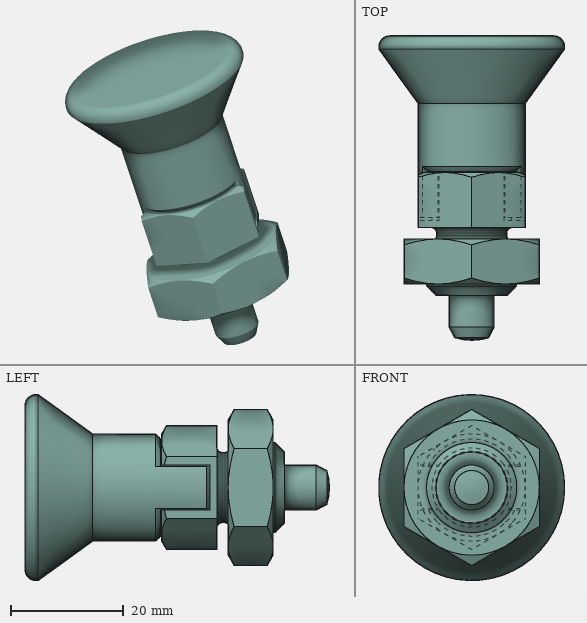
import cadquery as cq
import math

length = 54.0

pin_radius = 8.0 / 2
pin_tip_radius = 3.0
pin_dome_height = 0.5
pin_taper_end = 2.4

thread_radius = 16.0 / 2
thread_start = 8.0
thread_chamfer = 1.7
relief_radius = 12.5 / 2
relief_fillet = 0.9
relief_flat = 0.5

nut_flats = 24.0
nut_start = 10.0
nut_height = 8.0
body_flats = 19.0
body_start = 20.0
body_end = 29.75
hex_chamfer_angle = 30.0

sleeve_radius = body_flats / 2
sleeve_start = 30.85
sleeve_chamfer = 0.85
cone_start = 42.0
knob_radius = 33.0 / 2
cone_end = 51.7
rim_width = 0.3
rim_fillet = length - cone_end - rim_width
core_radius = 7.0
tongue_width = 7.5
tongue_end = 21.8
slot_width = 8.0
slot_end = 21.2


def revolve_about_y(outline):
    """Revolve a closed (radius, Y) outline about the Y axis."""
    return outline.close().revolve(360, (0, 0, 0), (0, 1, 0))


def cylinder(radius, start, end):
    outline = cq.Workplane("XY").moveTo(0, start).lineTo(radius, start).lineTo(radius, end).lineTo(0, end)
    return revolve_about_y(outline)


def cross_bar(width, start, end):
    """Bar through the body along X, reaching past both flats."""
    return cq.Workplane("XY").box(2 * body_flats, end - start, width).translate((0, (start + end) / 2, 0))


def hexagon(flats, start, end, chamfer_start):
    """Hexagonal prism with conical corner chamfers on the knob end and optionally the pin end."""
    corner_radius = flats / 2 / math.cos(math.radians(30))
    drop = (corner_radius - flats / 2) * math.tan(math.radians(hex_chamfer_angle))
    prism = (
        cq.Workplane("XZ", origin=(0, start, 0))
        .transformed(rotate=(0, 0, 30))
        .polygon(6, 2 * corner_radius)
        .extrude(start - end)
    )
    outline = cq.Workplane("XY").moveTo(0, start)
    if chamfer_start:
        outline = outline.lineTo(flats / 2, start).lineTo(corner_radius, start + drop)
    else:
        outline = outline.lineTo(corner_radius, start)
    outline = outline.lineTo(corner_radius, end - drop).lineTo(flats / 2, end).lineTo(0, end)
    return prism.intersect(revolve_about_y(outline))


def make_pin_and_thread():
    dome_radius = (pin_tip_radius**2 + pin_dome_height**2) / (2 * pin_dome_height)
    dome_mid_radius = pin_tip_radius / 2
    dome_mid_y = dome_radius - math.sqrt(dome_radius**2 - dome_mid_radius**2)
    relief_top = body_start - relief_fillet
    relief_bottom = relief_top - relief_flat
    fillet_radius = relief_radius + relief_fillet
    arc_inset = relief_fillet * math.sqrt(0.5)
    outline = (
        cq.Workplane("XY")
        .moveTo(0, 0)
        .threePointArc((dome_mid_radius, dome_mid_y), (pin_tip_radius, pin_dome_height))
        .lineTo(pin_radius, pin_taper_end)
        .lineTo(pin_radius, thread_start)
        .lineTo(thread_radius - thread_chamfer, thread_start)
        .lineTo(thread_radius, thread_start + thread_chamfer)
        .lineTo(thread_radius, relief_bottom - relief_fillet)
        .lineTo(fillet_radius, relief_bottom - relief_fillet)
        .threePointArc((fillet_radius - arc_inset, relief_bottom - arc_inset), (relief_radius, relief_bottom))
        .lineTo(relief_radius, relief_top)
        .threePointArc((fillet_radius - arc_inset, relief_top + arc_inset), (fillet_radius, body_start))
        .lineTo(0, body_start)
    )
    return revolve_about_y(outline)


def make_slotted_body():
    body = hexagon(body_flats, body_start, body_end, False)
    slot = cross_bar(slot_width, slot_end, body_end)
    return body.cut(slot).union(cylinder(core_radius, body_start, sleeve_start))


def make_knob():
    rim_arc_inset = rim_fillet * (1 - math.sqrt(0.5))
    outline = (
        cq.Workplane("XY")
        .moveTo(0, sleeve_start - sleeve_chamfer)
        .lineTo(sleeve_radius - sleeve_chamfer, sleeve_start - sleeve_chamfer)
        .lineTo(sleeve_radius, sleeve_start)
        .lineTo(sleeve_radius, cone_start)
        .lineTo(knob_radius, cone_end)
        .lineTo(knob_radius, cone_end + rim_width)
        .threePointArc(
            (knob_radius - rim_arc_inset, length - rim_arc_inset),
            (knob_radius - rim_fillet, length),
        )
        .lineTo(0, length)
    )
    tongues = cylinder(sleeve_radius, tongue_end, sleeve_start).intersect(
        cross_bar(tongue_width, tongue_end, sleeve_start)
    )
    return revolve_about_y(outline).union(tongues)


nut = hexagon(nut_flats, nut_start, nut_start + nut_height, True)
result = make_pin_and_thread().union(nut).union(make_slotted_body()).union(make_knob())